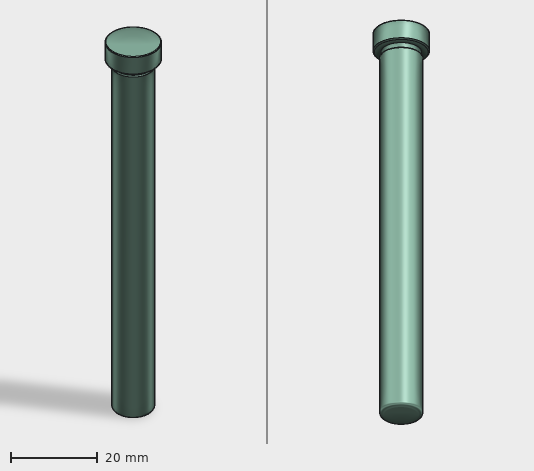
import cadquery as cq
import math

total_length = 100.0
head_diameter = 13.0
head_height = 5.0
shank_diameter = 10.0

groove_diameter = 9.4
groove_width = 1.5
groove_taper = 0.3

head_top_chamfer = 0.2
head_bottom_chamfer = 0.3
tip_round = 1.0

head_radius = head_diameter / 2
shank_radius = shank_diameter / 2
groove_radius = groove_diameter / 2
head_bottom = total_length - head_height
groove_bottom = head_bottom - groove_width

tip_arc_radius = shank_radius - tip_round
tip_mid = tip_round * math.sqrt(0.5)

profile = (
    cq.Workplane("XZ")
    .lineTo(tip_arc_radius, 0)
    .threePointArc((tip_arc_radius + tip_mid, tip_round - tip_mid), (shank_radius, tip_round))
    .lineTo(shank_radius, groove_bottom)
    .lineTo(groove_radius, groove_bottom + groove_taper)
    .lineTo(groove_radius, head_bottom)
    .lineTo(head_radius - head_bottom_chamfer, head_bottom)
    .lineTo(head_radius, head_bottom + head_bottom_chamfer)
    .lineTo(head_radius, total_length - head_top_chamfer)
    .lineTo(head_radius - head_top_chamfer, total_length)
    .lineTo(0, total_length)
    .close()
)

result = profile.revolve(360, (0, 0, 0), (0, 1, 0))